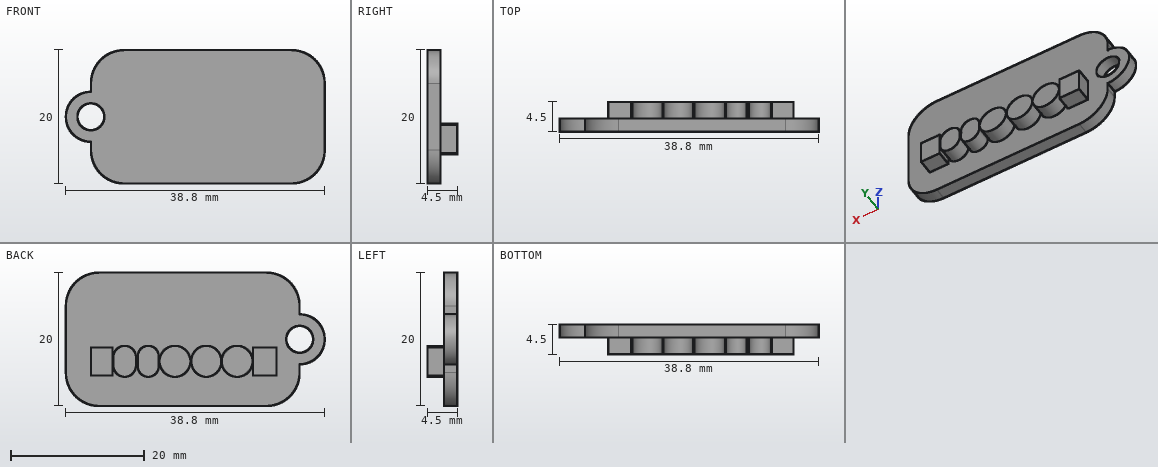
import cadquery as cq

total_length = 38.75
plate_length = 35.0
plate_height = 20.0
plate_thickness = 2.0
corner_radius = 5.0

ring_radius = total_length - plate_length
hole_diameter = 4.0

total_thickness = 4.5
pad_rise = total_thickness - plate_thickness
pad_row_z = -3.3
square_pad_height = 4.2
round_pad_height = 4.65

square_pads = [(3.5, 6.98), (27.98, 31.25)]
round_pads = [(7.05, 11.65), (11.75, 16.2), (16.35, 20.95), (21.08, 24.2), (24.5, 27.85)]


def back_plane(y):
    """Sketch plane at depth y facing +Y, with local axes along -X and +Z."""
    return cq.Plane(origin=(0, y, 0), xDir=(-1, 0, 0), normal=(0, 1, 0))


def make_plate():
    plate = (
        cq.Workplane(back_plane(0))
        .center(-plate_length / 2, 0)
        .rect(plate_length, plate_height)
        .extrude(plate_thickness)
        .edges("|Y")
        .fillet(corner_radius)
    )
    ring = cq.Workplane(back_plane(0)).circle(ring_radius).extrude(plate_thickness)
    hole = cq.Workplane(back_plane(0)).circle(hole_diameter / 2).extrude(plate_thickness)
    return plate.union(ring).cut(hole)


def pad_sketch(x_start, x_end):
    """Workplane on the back face, centred on a pad."""
    return cq.Workplane(back_plane(plate_thickness)).center(-(x_start + x_end) / 2, pad_row_z)


def make_square_pad(x_start, x_end):
    return pad_sketch(x_start, x_end).rect(x_end - x_start, square_pad_height).extrude(pad_rise)


def make_round_pad(x_start, x_end):
    """Upright pad with full-round ends."""
    width = x_end - x_start
    return pad_sketch(x_start, x_end).slot2D(round_pad_height, width, 90).extrude(pad_rise)


result = make_plate()
for x_range in square_pads:
    result = result.union(make_square_pad(*x_range))
for x_range in round_pads:
    result = result.union(make_round_pad(*x_range))